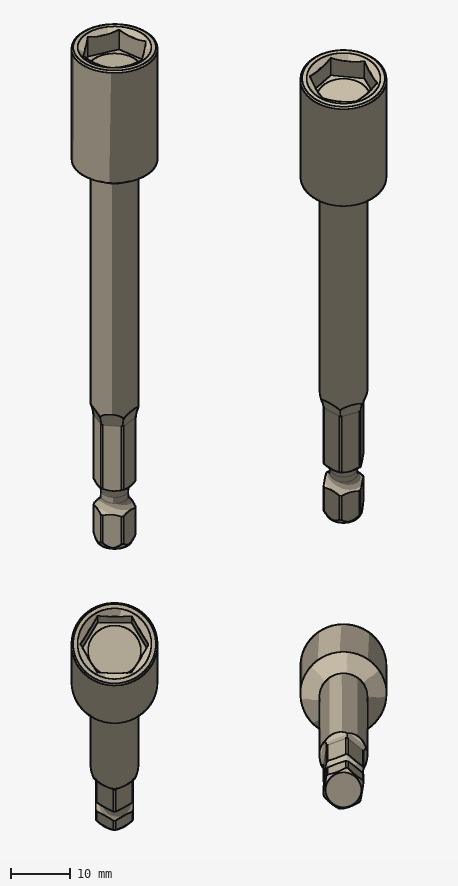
import cadquery as cq
import math

total_length = 100.0
socket_bottom = 75.0

socket_radius = 7.25
socket_cone_height = 2.3
rim_chamfer = 0.3
mouth_radius = 6.2
mouth_depth = 0.7
mouth_slope_run = 1.2
socket_flats = 9.9
socket_depth = 4.3

magnet_radius = 4.45
magnet_thickness = 3.0

rod_radius = 4.05
hex_flats = 6.35
hex_corner_radius = 3.55
hex_top = 25.2
runout_radius = 5.0
groove_center = 9.5
groove_neck_radius = 2.35
groove_straight = 1.2
groove_flare_radius = 2.4
tip_radius = 3.0
tip_chamfer_height = 1.2

socket_floor = total_length - socket_depth
magnet_seat = socket_floor - magnet_thickness
hex_sides = 6
side_angle = 360.0 / hex_sides


def corner_diameter(flats):
    """Diameter across the corners of a hexagon."""
    return flats / math.cos(math.pi / hex_sides)


def make_socket():
    """Round nut driver head with a hexagonal recess and a magnet seat."""
    profile = (
        cq.Workplane("XZ")
        .moveTo(0, socket_bottom)
        .lineTo(rod_radius, socket_bottom)
        .lineTo(socket_radius, socket_bottom + socket_cone_height)
        .lineTo(socket_radius, total_length - rim_chamfer)
        .lineTo(socket_radius - rim_chamfer, total_length)
        .lineTo(0, total_length)
        .close()
    )
    body = profile.revolve(360, (0, 0, 0), (0, 1, 0))

    recess = (
        cq.Workplane("XY")
        .workplane(offset=socket_floor)
        .transformed(rotate=(0, 0, side_angle / 2))
        .polygon(hex_sides, corner_diameter(socket_flats))
        .extrude(socket_depth)
    )
    mouth = cq.Workplane(
        cq.Solid.makeCone(
            mouth_radius - mouth_slope_run,
            mouth_radius,
            mouth_depth,
            pnt=cq.Vector(0, 0, total_length - mouth_depth),
        )
    )
    seat = (
        cq.Workplane("XY")
        .workplane(offset=magnet_seat)
        .circle(magnet_radius)
        .extrude(magnet_thickness)
    )
    return body.cut(recess).cut(mouth).cut(seat)


def make_magnet():
    """Disc magnet flush with the recess floor."""
    return (
        cq.Workplane("XY")
        .workplane(offset=magnet_seat)
        .circle(magnet_radius)
        .extrude(magnet_thickness)
    )


def make_turned_blank():
    """Round rod, turned down to the hex corners and chamfered at the tip."""
    return (
        cq.Workplane("XZ")
        .lineTo(tip_radius, 0)
        .lineTo(hex_corner_radius, tip_chamfer_height)
        .lineTo(hex_corner_radius, hex_top)
        .lineTo(rod_radius, hex_top)
        .lineTo(rod_radius, socket_bottom)
        .lineTo(0, socket_bottom)
        .close()
        .revolve(360, (0, 0, 0), (0, 1, 0))
    )


def make_flat_cutter():
    """Cutter for one hex flat, with a round run-out at its upper end."""
    flat = hex_flats / 2
    return (
        cq.Workplane("XZ")
        .moveTo(flat, 0)
        .lineTo(flat, hex_top)
        .radiusArc((flat + runout_radius, hex_top + runout_radius), runout_radius)
        .lineTo(flat + runout_radius, 0)
        .close()
        .extrude(rod_radius, both=True)
    )


def make_groove():
    """Ring that cuts the flared retaining groove."""
    half_straight = groove_straight / 2
    outer = groove_neck_radius + groove_flare_radius
    half_height = half_straight + groove_flare_radius
    return (
        cq.Workplane("XZ")
        .moveTo(outer, groove_center - half_height)
        .radiusArc((groove_neck_radius, groove_center - half_straight), groove_flare_radius)
        .lineTo(groove_neck_radius, groove_center + half_straight)
        .radiusArc((outer, groove_center + half_height), groove_flare_radius)
        .close()
        .revolve(360, (0, 0, 0), (0, 1, 0))
    )


def make_shank():
    """Round rod with a grooved hexagonal drive end."""
    shank = make_turned_blank()
    for side in range(hex_sides):
        angle = side_angle * (side + 0.5)
        shank = shank.cut(make_flat_cutter().rotate((0, 0, 0), (0, 0, 1), angle))
    return shank.cut(make_groove())


socket = make_socket()
magnet = make_magnet()
shank = make_shank()

result = cq.Compound.makeCompound([socket.val(), magnet.val(), shank.val()])